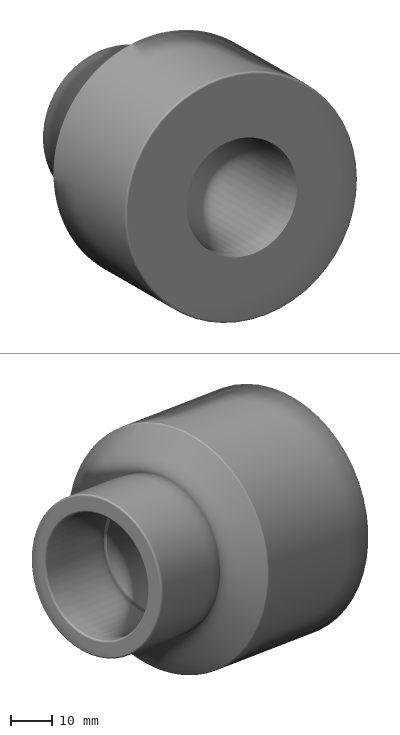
import cadquery as cq

total_length = 65.0
spigot_length = 22.0
cone_end = 27.0

spigot_diameter = 41.0
body_diameter = 63.0
socket_diameter = 32.0
bore_diameter = 30.0

socket_depth = spigot_length

edge_radius = 0.5


def outer_shell():
    """Spigot, conical shoulder and large body, with rounded outer edges."""
    spigot_radius = spigot_diameter / 2
    body_radius = body_diameter / 2
    shell = (
        cq.Workplane("XY")
        .lineTo(0, spigot_radius)
        .lineTo(spigot_length, spigot_radius)
        .lineTo(cone_end, body_radius)
        .lineTo(total_length, body_radius)
        .lineTo(total_length, 0)
        .close()
        .revolve(360, (0, 0, 0), (1, 0, 0))
    )
    shell = shell.faces("<X").edges().fillet(edge_radius)
    body_edges = cq.selectors.RadiusNthSelector(-1)
    return shell.edges("%CIRCLE").edges(body_edges).fillet(edge_radius)


def cylinder_along_x(diameter, length):
    """Solid cylinder on the X axis, starting at the spigot end."""
    return cq.Workplane("YZ").circle(diameter / 2).extrude(length)


socketed = outer_shell().cut(cylinder_along_x(socket_diameter, socket_depth))

mouth = cq.selectors.RadiusNthSelector(0)
socketed = socketed.faces("<X").edges(mouth).fillet(edge_radius)

result = socketed.cut(cylinder_along_x(bore_diameter, total_length))